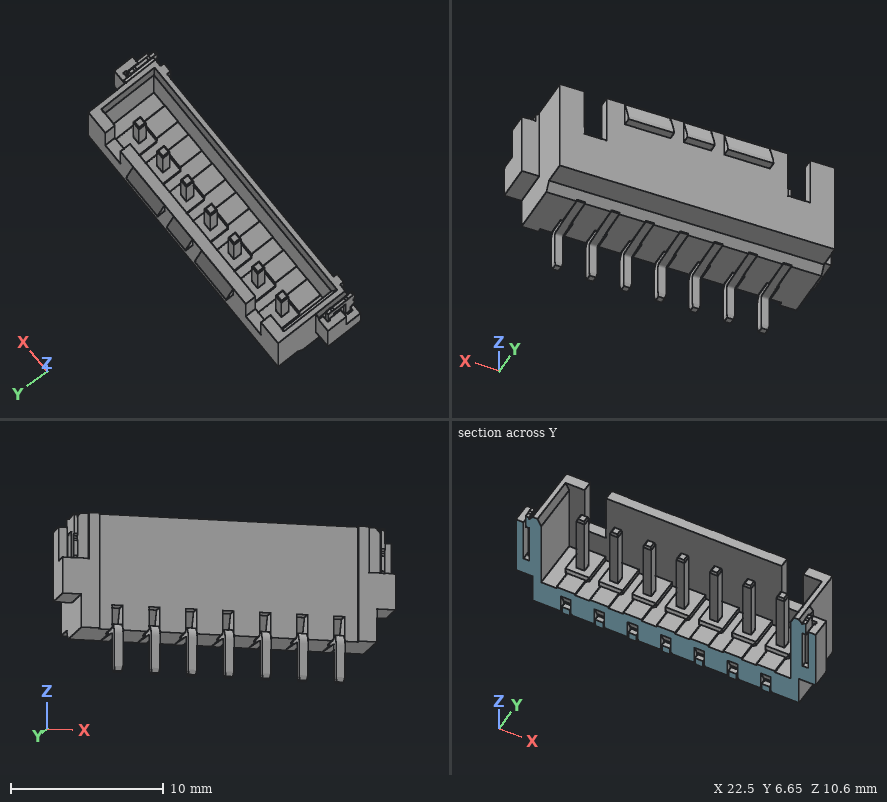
import cadquery as cq
import math


housing_half = 10.0
housing_front = 0.3
housing_back = 5.96
housing_top = 7.76
back_underside = 0.68
underside_step_front = 3.87
underside_step_back = 4.28

mouth_half = 9.6
mouth_front = 0.68
cavity_back = 5.15
mouth_lead_in = 0.27
mouth_lead_in_depth = 0.56
cavity_floor = 2.02

pad_half = 0.9
pad_front = 2.9
pad_height = 0.34
pad_slope = 0.2
rib_half = 0.7
rib_height = 0.11

slot_inner = 6.6
slot_outer = 8.2
slot_floor = 4.1

bump_half_gap = 1.0
bump_inner = 1.95
bump_outer = 5.26
bump_spans = [(-bump_outer, -bump_inner), (-bump_half_gap, bump_half_gap), (bump_inner, bump_outer)]
bump_top = 7.7
bump_bottom = 5.96
bump_depth = 0.58
bump_shoulder = 0.52
bump_shoulder_height = 0.35

wing_half = 11.25
wing_back = 2.77
wing_bottom = 2.23
wing_top = 6.95
strip_inner = 8.75
cheek_half = 10.25
cheek_drop = 0.34
notch_inner = 9.45
notch_floor = 4.65
notch_back = 1.22

clip_outer = 10.5
clip_back = 2.15
clip_top = 7.65
clip_front = -0.1
clip_lower_front = -0.05
clip_step_top = 6.28
clip_dimple_depth = 0.07
clip_dimple_slope = 0.15
clip_corner = 0.14
clip_gap_front = 0.65
clip_gap_back = 1.69
clip_gap_top = 6.57
clip_gap_radius = 0.15
clip_dip = 0.07
clip_dip_front = 0.65
clip_dip_back = 1.65
clip_dip_ramp = 0.18
pocket_outer = 10.66
pocket_floor = 3.6
pocket_back = 2.38
pocket_wide_outer = 10.75
pocket_front_end = 0.7
pocket_extra_depth = 0.07

pin_count = 7
pin_pitch = 2.5
pin_size = 0.6
pin_y = 3.62
pin_tip = 6.85
tip_inset = 0.07
tip_length = 0.2
leg_front = -0.11
leg_bottom = -2.84
leg_tip_length = 0.32
leg_tip_inset = 0.07
bend_inner = 0.18
bend_centre_z = -0.34
tail_tilt = 3.2

groove_width = 0.72
groove_top = 1.66
groove_roof_depth = 0.9
groove_back = 1.69
groove_back_top = 0.65
groove_flare = 0.1
groove_flare_height = 0.14

pin_positions = [(i - (pin_count - 1) / 2) * pin_pitch for i in range(pin_count)]


def box(x0, x1, y0, y1, z0, z1):
    """Box between two opposite corners."""
    return cq.Workplane("XY").box(x1 - x0, y1 - y0, z1 - z0, centered=False).translate((x0, y0, z0))


def side_prism(points, x0, x1):
    """Prism along X from a (Y, Z) outline."""
    return cq.Workplane("YZ", origin=(x0, 0, 0)).polyline(points).close().extrude(x1 - x0)


def both_sides(shape):
    """The shape together with its mirror image across the YZ plane."""
    return shape.union(shape.mirror("YZ"))


def make_housing():
    body = side_prism(
        [
            (housing_front, 0),
            (underside_step_front, 0),
            (underside_step_back, back_underside),
            (housing_back, back_underside),
            (housing_back, housing_top),
            (housing_front, housing_top),
        ],
        -housing_half,
        housing_half,
    )
    return body.cut(make_cavity()).union(make_floor_details())


def make_cavity():
    inner_half = mouth_half - mouth_lead_in
    inner_front = mouth_front + mouth_lead_in
    well = box(-inner_half, inner_half, inner_front, cavity_back, cavity_floor, housing_top)
    lead_in = (
        cq.Workplane("XY", origin=(0, cavity_back, housing_top))
        .rect(2 * mouth_half, 2 * (cavity_back - mouth_front))
        .workplane(offset=-mouth_lead_in_depth)
        .rect(2 * inner_half, 2 * (cavity_back - inner_front))
        .loft(ruled=True)
    )
    front_half = box(-mouth_half, mouth_half, mouth_front, cavity_back, cavity_floor, housing_top)
    cavity = well.union(lead_in.intersect(front_half))
    slot = box(slot_inner, slot_outer, cavity_back, housing_back, slot_floor, housing_top)
    return cavity.union(both_sides(slot))


def make_floor_details():
    details = cq.Workplane("XY")
    pad_outline = [
        (pad_front - pad_slope, cavity_floor),
        (cavity_back, cavity_floor),
        (cavity_back, cavity_floor + pad_height),
        (pad_front, cavity_floor + pad_height),
    ]
    pad_plan = [
        (-pad_half, cavity_back),
        (-pad_half, pad_front),
        (-rib_half, pad_front - pad_slope),
        (rib_half, pad_front - pad_slope),
        (pad_half, pad_front),
        (pad_half, cavity_back),
    ]
    pad = side_prism(pad_outline, -pad_half, pad_half)
    pad = pad.intersect(
        cq.Workplane("XY", origin=(0, 0, cavity_floor)).polyline(pad_plan).close().extrude(pad_height)
    )
    for x in pin_positions:
        details = details.union(pad.translate((x, 0, 0)))
        rib = box(x - rib_half, x + rib_half, mouth_front + mouth_lead_in, pad_front,
                  cavity_floor, cavity_floor + rib_height)
        details = details.union(rib)
    return details


def make_bumps():
    outline = [
        (housing_back, bump_bottom),
        (housing_back + bump_depth, bump_bottom),
        (housing_back + bump_shoulder, bump_bottom + bump_shoulder_height),
        (housing_back, bump_top),
    ]
    bumps = cq.Workplane("XY")
    for left, right in bump_spans:
        bumps = bumps.union(side_prism(outline, left, right))
    return bumps


def make_wing():
    """Right-hand wing with its front strip, cheek, notch and clip pocket."""
    block = box(housing_half, wing_half, 0, wing_back, wing_bottom, wing_top)
    block = block.cut(box(cheek_half, wing_half, 0, notch_back, notch_floor, wing_top))
    block = block.cut(box(cheek_half, pocket_outer, housing_front, pocket_back, pocket_floor, wing_top))
    block = block.cut(box(cheek_half, pocket_wide_outer, clip_back, pocket_back, notch_floor, wing_top))
    block = block.cut(
        box(clip_outer, pocket_wide_outer, housing_front, pocket_front_end,
            notch_floor - pocket_extra_depth, notch_floor)
    )
    cheek = (
        cq.Workplane("XZ", origin=(0, wing_back, 0))
        .moveTo(housing_half, wing_bottom)
        .lineTo(cheek_half, wing_bottom)
        .lineTo(cheek_half, housing_top - cheek_drop)
        .lineTo(housing_half, housing_top)
        .close()
        .extrude(wing_back - housing_front)
    )
    strip = box(strip_inner, housing_half, 0, housing_front, 0, housing_top)
    notch = box(notch_inner, wing_half, 0, housing_front, notch_floor, housing_top)
    return block.union(strip).cut(notch).union(cheek)


def make_clip():
    """Right-hand clip: an upside-down U plate standing against the cheek."""
    outline = [
        (clip_back, pocket_floor),
        (clip_back, clip_top),
        (clip_dip_back + clip_dip_ramp, clip_top),
        (clip_dip_back, clip_top - clip_dip),
        (clip_dip_front, clip_top - clip_dip),
        (clip_dip_front - clip_dip_ramp, clip_top),
        (clip_front + clip_corner, clip_top),
        (clip_front, clip_top - clip_corner),
        (clip_front, clip_step_top),
        (clip_lower_front + clip_dimple_depth, clip_step_top - clip_dimple_slope),
        (clip_lower_front + clip_dimple_depth, clip_step_top - 2 * clip_dimple_slope),
        (clip_lower_front, clip_step_top - 3 * clip_dimple_slope),
        (clip_lower_front, notch_floor + clip_corner),
        (clip_lower_front + clip_corner, notch_floor),
        (housing_front, notch_floor),
        (housing_front, pocket_floor),
    ]
    plate = side_prism(outline, cheek_half, clip_outer)
    gap = box(cheek_half, clip_outer, clip_gap_front, clip_gap_back, pocket_floor, clip_gap_top)
    gap = gap.edges("|X and >Z").fillet(clip_gap_radius)
    return plate.cut(gap)


def make_tip(y, base_z, length, inset):
    """Tapered end of a square pin; a negative length points it downward."""
    return (
        cq.Workplane("XY", origin=(0, y, base_z))
        .rect(pin_size, pin_size)
        .workplane(offset=length)
        .rect(pin_size - 2 * inset, pin_size - 2 * inset)
        .loft(ruled=True)
    )


def make_pin():
    """Pin at X = 0: upright contact, gently tilted tail, bend and downward leg."""
    bend_outer = bend_inner + pin_size
    bend_centre_y = leg_front + bend_outer
    tilt = math.radians(tail_tilt)

    def bend_point(radius, angle):
        return (bend_centre_y + radius * math.cos(angle), bend_centre_z + radius * math.sin(angle))

    tail_angle = math.pi / 2 + tilt
    middle_angle = (math.pi + tail_angle) / 2
    outer_start = bend_point(bend_outer, tail_angle)
    inner_start = bend_point(bend_inner, tail_angle)
    contact_front = pin_y - pin_size / 2
    contact_back = pin_y + pin_size / 2
    tail_top = outer_start[1] + (contact_front - outer_start[0]) * math.tan(tilt)
    tail_end = inner_start[1] + (contact_front - inner_start[0]) * math.tan(tilt)
    leg_back = leg_front + pin_size
    contact_end = pin_tip - tip_length
    leg_end = leg_bottom + leg_tip_length

    shape = (
        cq.Workplane("YZ", origin=(-pin_size / 2, 0, 0))
        .moveTo(leg_front, leg_end)
        .lineTo(leg_front, bend_centre_z)
        .threePointArc(bend_point(bend_outer, middle_angle), outer_start)
        .lineTo(contact_front, tail_top)
        .lineTo(contact_front, contact_end)
        .lineTo(contact_back, contact_end)
        .lineTo(contact_back, tail_end)
        .lineTo(contact_front, tail_end)
        .lineTo(*inner_start)
        .threePointArc(bend_point(bend_inner, middle_angle), (leg_back, bend_centre_z))
        .lineTo(leg_back, leg_end)
        .close()
        .extrude(pin_size)
    )
    contact_tip = make_tip(pin_y, contact_end, tip_length, tip_inset)
    leg_tip = make_tip((leg_front + leg_back) / 2, leg_end, -leg_tip_length, leg_tip_inset)
    return shape.union(contact_tip).union(leg_tip)


def make_groove():
    """Groove at X = 0 in the housing underside, with a leaning back wall and a flared lower edge."""
    outline = [
        (housing_front, 0),
        (housing_front, groove_top),
        (housing_front + groove_roof_depth, groove_top),
        (groove_back, groove_back_top),
        (groove_back, 0),
    ]
    groove = side_prism(outline, -groove_width / 2, groove_width / 2)
    half = groove_width / 2
    flare = (
        cq.Workplane("XZ", origin=(0, groove_back, 0))
        .polyline([(-half - groove_flare, 0), (half + groove_flare, 0),
                   (half, groove_flare_height), (-half, groove_flare_height)])
        .close()
        .extrude(groove_back - housing_front)
    )
    return groove.union(flare)


groove = make_groove()
pin = make_pin()

result = make_housing().union(make_bumps())
result = result.union(both_sides(make_wing())).union(both_sides(make_clip()))
for x in pin_positions:
    result = result.cut(groove.translate((x, 0, 0))).union(pin.translate((x, 0, 0)))